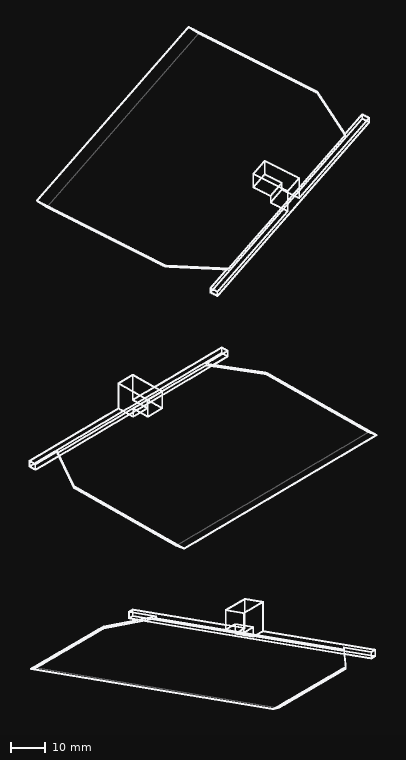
import cadquery as cq
import math

length = 63.1
width = 80.0

plate_thickness = 0.6
bevel_length = 3.4
corner_length = 15.7
corner_angle = 30.0

bar_depth = 2.5
bar_height = 2.0

grip_width = 6.0
grip_height = 9.0
grip_reach = 12.0
grip_stem_depth = 6.0
grip_head_height = 6.0

bar_front = length - bar_depth


def extrude_across(points, across):
    """Extrude an XZ outline symmetrically about the XZ plane."""
    return cq.Workplane("XZ").polyline(points).close().extrude(across / 2, both=True)


def make_plate():
    """Plate with a front edge bevelled from below and clipped rear corners."""
    profile = [
        (0, 0),
        (length, 0),
        (length, -plate_thickness),
        (bevel_length, -plate_thickness),
    ]
    corner_start = bar_front - corner_length
    half_width = width / 2
    inner_half = half_width - corner_length * math.tan(math.radians(corner_angle))
    outline = [
        (0, -half_width),
        (corner_start, -half_width),
        (bar_front, -inner_half),
        (length, -inner_half),
        (length, inner_half),
        (bar_front, inner_half),
        (corner_start, half_width),
        (0, half_width),
    ]
    footprint = cq.Workplane("XY").polyline(outline).close().extrude(-plate_thickness)
    return extrude_across(profile, width).intersect(footprint)


def make_bar():
    """Square-ended bar spanning the full width."""
    profile = [
        (bar_front, 0),
        (length, 0),
        (length, -bar_height),
        (bar_front, -bar_height),
    ]
    return extrude_across(profile, width)


def make_grip():
    """Upright stem with a head that overhangs the plate."""
    head_bottom = grip_height - grip_head_height
    stem_front = length - grip_stem_depth
    head_front = length - grip_reach
    profile = [
        (stem_front, -plate_thickness),
        (length, -plate_thickness),
        (length, grip_height),
        (head_front, grip_height),
        (head_front, head_bottom),
        (stem_front, head_bottom),
    ]
    return extrude_across(profile, grip_width)


result = make_plate().union(make_bar()).union(make_grip()).clean()